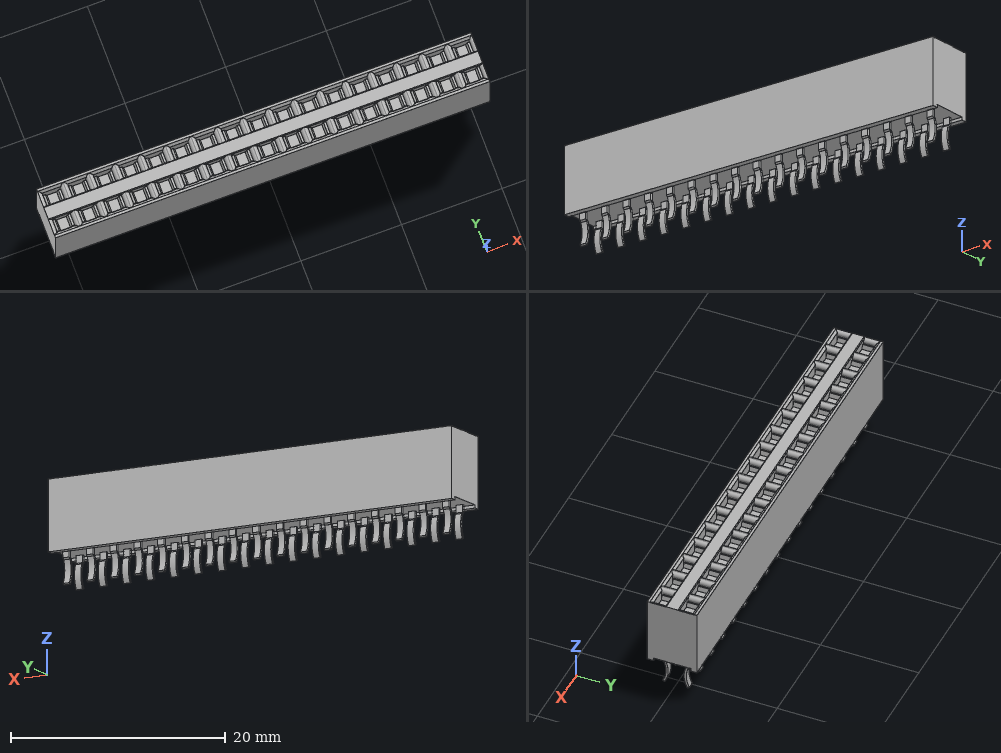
import cadquery as cq
import math

contacts_per_row = 17
pitch = 2.54
row_offset = 1.27
housing_width = 5.06
housing_height = 7.0
housing_length = contacts_per_row * pitch

channel_width = 3.76
channel_depth = 0.3

socket_inner_y = 0.69
socket_outer_y = 2.0
socket_depth = 1.5
socket_width = 1.76
lead_in_radius = (pitch - socket_width) / 2
rim_chamfer_width = 0.26
rim_chamfer_depth = 0.19
inner_chamfer = 0.09
ridge_depth = 0.03

contact_width = 1.16
leaf_tilt = math.radians(20)
leaf_thickness = 0.25
leaf_tip_depth = 0.48
contact_floor_depth = 0.94

leg_width = 0.7
leg_thickness = 0.25
leg_length = 3.0
leg_straight_length = 0.44
leg_step = 0.16
leg_apex_depth = 1.6
leg_bow = 0.35
leg_tip_angle = math.radians(28)
leg_embedment = 0.5

contact_positions = [(i - (contacts_per_row - 1) / 2) * pitch for i in range(contacts_per_row)]


def make_housing():
    """Plain block with the shallow channel along its underside."""
    block = cq.Workplane("XY").box(housing_length, housing_width, housing_height, centered=(True, True, False))
    channel = cq.Workplane("XY").box(housing_length, channel_width, channel_depth, centered=(True, True, False))
    return block.cut(channel)


def make_socket():
    """Cutter for one socket of the +Y row, centred on X = 0: rounded lead-ins in X, chamfers in Y.

    The lead-ins of neighbouring sockets meet in a ridge slightly below the top face.
    """
    throat = socket_width / 2
    mouth = throat + lead_in_radius
    floor_z = housing_height - socket_depth
    ridge_z = housing_height - ridge_depth
    lead_in_z = ridge_z - lead_in_radius
    arc_x = mouth - lead_in_radius * math.sqrt(0.5)
    arc_z = lead_in_z + lead_in_radius * math.sqrt(0.5)
    rim_inner_y = socket_inner_y - inner_chamfer
    rim_outer_y = socket_outer_y + rim_chamfer_width
    opening = (
        cq.Workplane("XZ", origin=(0, rim_outer_y, 0))
        .moveTo(-throat, floor_z)
        .lineTo(throat, floor_z)
        .lineTo(throat, lead_in_z)
        .threePointArc((arc_x, arc_z), (mouth, ridge_z))
        .lineTo(mouth, housing_height)
        .lineTo(-mouth, housing_height)
        .lineTo(-mouth, ridge_z)
        .threePointArc((-arc_x, arc_z), (-throat, lead_in_z))
        .close()
        .extrude(rim_outer_y - rim_inner_y)
    )
    chamfered_section = (
        cq.Workplane("YZ", origin=(-mouth, 0, 0))
        .moveTo(socket_inner_y, floor_z)
        .lineTo(socket_outer_y, floor_z)
        .lineTo(socket_outer_y, housing_height - rim_chamfer_depth)
        .lineTo(rim_outer_y, housing_height)
        .lineTo(rim_inner_y, housing_height)
        .lineTo(socket_inner_y, housing_height - inner_chamfer)
        .close()
        .extrude(2 * mouth)
    )
    return opening.intersect(chamfered_section)


def make_contact():
    """Upper end of one contact of the +Y row, centred on X = 0, filling the socket between its side walls."""
    wall_x = socket_width / 2
    base_z = housing_height - socket_depth
    floor_z = housing_height - contact_floor_depth
    tip_z = housing_height - leaf_tip_depth
    tip_x = wall_x - leaf_thickness * math.cos(leaf_tilt)
    tip_outer_z = tip_z - leaf_thickness * math.sin(leaf_tilt)
    floor_x = tip_x - (tip_z - floor_z) * math.tan(leaf_tilt)
    return (
        cq.Workplane("XZ", origin=(0, socket_inner_y + contact_width, 0))
        .moveTo(-wall_x, base_z)
        .lineTo(-wall_x, tip_outer_z)
        .lineTo(-tip_x, tip_z)
        .lineTo(-floor_x, floor_z)
        .lineTo(floor_x, floor_z)
        .lineTo(tip_x, tip_z)
        .lineTo(wall_x, tip_outer_z)
        .lineTo(wall_x, base_z)
        .close()
        .extrude(contact_width)
    )


def make_leg():
    """One leg of the +Y row, centred on X = 0: straight, stepped inwards, then bowed back out to its tip."""
    top_z = channel_depth + leg_embedment
    bend_z = -leg_straight_length
    step_z = bend_z - leg_step
    outer_y = row_offset + leg_thickness / 2
    inner_y = row_offset - leg_thickness / 2
    tip_outer_y = inner_y + leg_thickness * math.cos(leg_tip_angle)
    tip_outer_z = -leg_length + leg_thickness * math.sin(leg_tip_angle)
    return (
        cq.Workplane("YZ", origin=(-leg_width / 2, 0, 0))
        .moveTo(outer_y, top_z)
        .lineTo(outer_y, bend_z)
        .lineTo(outer_y - leg_step, step_z)
        .threePointArc((outer_y - leg_bow, -leg_apex_depth), (tip_outer_y, tip_outer_z))
        .lineTo(inner_y, -leg_length)
        .threePointArc((inner_y - leg_bow, -leg_apex_depth), (inner_y - leg_step, step_z))
        .lineTo(inner_y, bend_z)
        .lineTo(inner_y, top_z)
        .close()
        .extrude(leg_width)
    )


def repeat_in_both_rows(feature):
    """Copies of a +Y row feature at every contact position of both rows."""
    shape = feature.val()
    row = [shape.translate(cq.Vector(x, 0, 0)) for x in contact_positions]
    return row + [copy.mirror("XZ") for copy in row]


sockets = repeat_in_both_rows(make_socket())
contacts = repeat_in_both_rows(make_contact())
legs = repeat_in_both_rows(make_leg())
housing = make_housing().val().cut(*sockets)
result = cq.Workplane(housing.fuse(*contacts, *legs).Solids()[0])